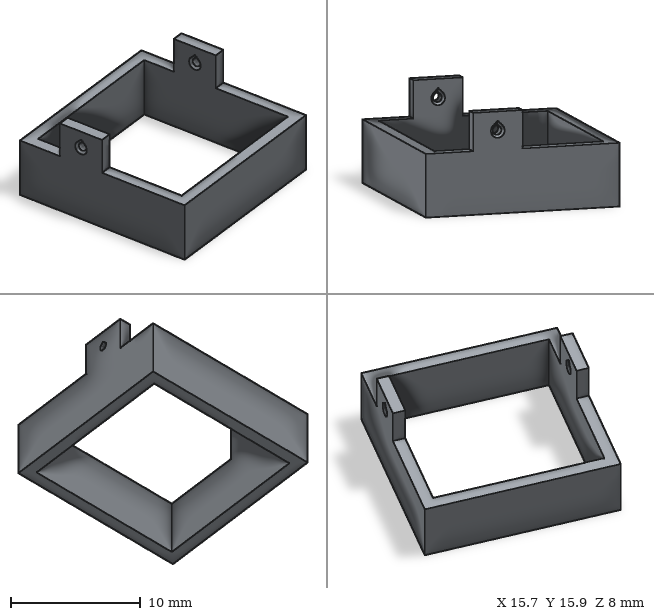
import cadquery as cq
import math

frame_width = 15.7
frame_length = 15.9
frame_height = 5.0
wall = 1.0

tab_height = 3.0
tab_width = 4.0
tab_center_x = 5.82
total_height = frame_height + tab_height

hole_radius = 0.35
mouth_radius = 0.55
flare_depth = mouth_radius - hole_radius
hole_z = frame_height + tab_height / 2


def draw_teardrop(plane, radius):
    """Circle whose upper side runs into a right-angled point."""
    tangent = radius * math.sqrt(0.5)
    peak = radius * math.sqrt(2)
    return (
        plane.moveTo(-tangent, tangent)
        .threePointArc((0, -radius), (tangent, tangent))
        .lineTo(0, peak)
        .close()
    )


def make_hole(face_y):
    """Flared teardrop cutter starting at face_y and running along +Y."""
    mouth = cq.Workplane("XZ", origin=(tab_center_x, face_y, hole_z))
    bore = draw_teardrop(mouth, hole_radius).extrude(-wall)
    flare = draw_teardrop(mouth, mouth_radius).workplane(offset=-flare_depth)
    flare = draw_teardrop(flare, hole_radius).loft(ruled=True)
    return bore.union(flare)


def make_tab(face_y):
    """Tab one wall thick, rising from the frame's base to full height."""
    tab = cq.Workplane("XY").box(tab_width, wall, total_height, centered=(True, False, False))
    return tab.translate((tab_center_x, face_y, 0))


frame = cq.Workplane("XY").box(frame_width, frame_length, frame_height, centered=False)
opening = (
    cq.Workplane("XY")
    .box(frame_width - 2 * wall, frame_length - 2 * wall, frame_height, centered=False)
    .translate((wall, wall, 0))
)
result = frame.cut(opening)

for face_y in (0, frame_length - wall):
    result = result.union(make_tab(face_y)).cut(make_hole(face_y))